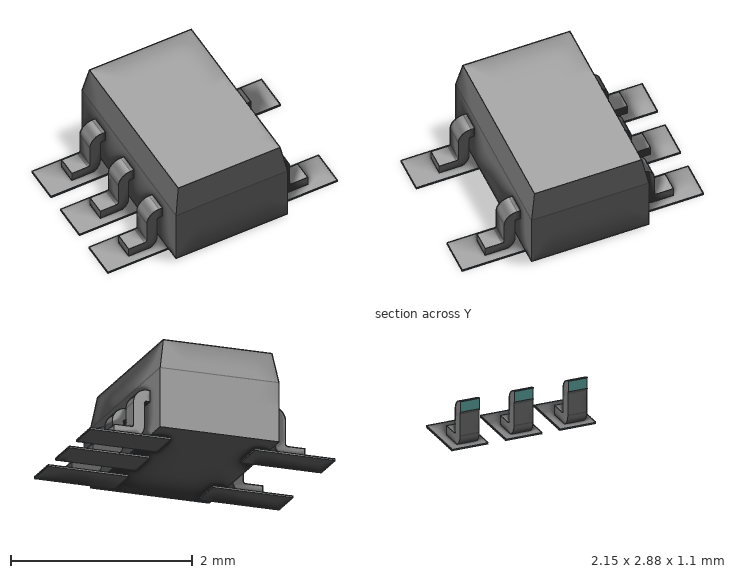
import cadquery as cq


body_length = 2.15
body_width = 1.4
body_bottom = 0.055
taper_start = 0.745
body_top = 1.1
top_inset = 0.06

overall_width = 2.88
pad_length = 0.945
pad_width = 0.432
pad_thickness = 0.02

lead_pitch = 0.65
lead_width = 0.23
lead_thickness = 0.13
lead_bottom = 0.003
lead_top = 0.58
lead_outer_face = 0.895
foot_tip = 1.123
inner_bend_radius = 0.025
outer_bend_radius = inner_bend_radius + lead_thickness
lead_embed = 0.145

front_leads = [-lead_pitch, 0, lead_pitch]
back_leads = [-lead_pitch, lead_pitch]


def make_body():
    lower = (
        cq.Workplane("XY", origin=(0, 0, body_bottom))
        .rect(body_length, body_width)
        .extrude(taper_start - body_bottom)
    )
    upper = (
        cq.Workplane("XY", origin=(0, 0, taper_start))
        .rect(body_length, body_width)
        .workplane(offset=body_top - taper_start)
        .rect(body_length - 2 * top_inset, body_width - 2 * top_inset)
        .loft(ruled=True)
    )
    return lower.union(upper)


def make_lead():
    """Lead on the -Y side, centred on X = 0."""
    root = -body_width / 2 + lead_embed
    outer_face = -lead_outer_face
    inner_face = outer_face + lead_thickness
    shoulder_y = outer_face + outer_bend_radius
    shoulder_z = lead_top - outer_bend_radius
    heel_y = inner_face - outer_bend_radius
    heel_z = lead_bottom + outer_bend_radius
    return (
        cq.Workplane("YZ", origin=(-lead_width / 2, 0, 0))
        .moveTo(root, lead_top)
        .lineTo(shoulder_y, lead_top)
        .radiusArc((outer_face, shoulder_z), -outer_bend_radius)
        .lineTo(outer_face, heel_z)
        .radiusArc((heel_y, heel_z - inner_bend_radius), inner_bend_radius)
        .lineTo(-foot_tip, lead_bottom + lead_thickness)
        .lineTo(-foot_tip, lead_bottom)
        .lineTo(heel_y, lead_bottom)
        .radiusArc((inner_face, heel_z), -outer_bend_radius)
        .lineTo(inner_face, shoulder_z)
        .radiusArc((shoulder_y, lead_top - lead_thickness), inner_bend_radius)
        .lineTo(root, lead_top - lead_thickness)
        .close()
        .extrude(lead_width)
    )


def make_pad():
    """Pad under the -Y side lead, centred on X = 0."""
    pad_center = -(overall_width - pad_length) / 2
    return (
        cq.Workplane("XY", origin=(0, pad_center, 0))
        .rect(pad_width, pad_length)
        .extrude(pad_thickness)
    )


result = make_body()
front_contact = make_lead().union(make_pad())
back_contact = front_contact.mirror("XZ")

for x in front_leads:
    result = result.union(front_contact.translate((x, 0, 0)))
for x in back_leads:
    result = result.union(back_contact.translate((x, 0, 0)))